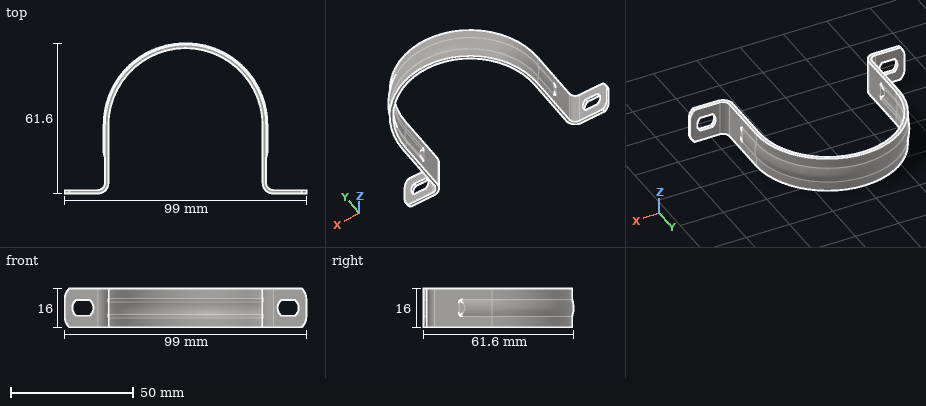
import cadquery as cq
import math

overall_length = 99.0
overall_depth = 61.6
width = 16.0
thickness = 1.5
inner_radius = 31.5
outer_radius = inner_radius + thickness
bend_inner_radius = 3.0
bend_outer_radius = bend_inner_radius + thickness

bead_height = 0.6
bead_width = 6.9
bead_end_y = 14.6
bead_ramp_length = 2.4
bead_corner_radius = 1.4
groove_edge_radius = 4.95
groove_side_clearance = 0.2
bead_radius = ((bead_width / 2) ** 2 + bead_height ** 2) / (2 * bead_height)
groove_radius = bead_radius - thickness
arch_y = overall_depth - bead_height - outer_radius

hole_radius = 4.3
hole_height = 6.3
hole_end_margin = 7.5
tab_corner_radius = 6.1
tab_end_flat = 6.9

half_length = overall_length / 2
half_width = width / 2


def make_strap():
    """Bent strip: two tabs, two legs and a semicircular arch."""
    tab_bend_x = inner_radius + bend_outer_radius
    bend_y = bend_outer_radius
    diagonal = math.sqrt(0.5)
    front_mid = (tab_bend_x - bend_outer_radius * diagonal, bend_y - bend_outer_radius * diagonal)
    back_mid = (tab_bend_x - bend_inner_radius * diagonal, bend_y - bend_inner_radius * diagonal)
    return (
        cq.Workplane("XY").workplane(offset=-half_width)
        .moveTo(half_length, 0)
        .lineTo(tab_bend_x, 0)
        .threePointArc(front_mid, (inner_radius, bend_y))
        .lineTo(inner_radius, arch_y)
        .threePointArc((0, arch_y + inner_radius), (-inner_radius, arch_y))
        .lineTo(-inner_radius, bend_y)
        .threePointArc((-front_mid[0], front_mid[1]), (-tab_bend_x, 0))
        .lineTo(-half_length, 0)
        .lineTo(-half_length, thickness)
        .lineTo(-tab_bend_x, thickness)
        .threePointArc((-back_mid[0], back_mid[1]), (-outer_radius, bend_y))
        .lineTo(-outer_radius, arch_y)
        .threePointArc((0, arch_y + outer_radius), (outer_radius, arch_y))
        .lineTo(outer_radius, bend_y)
        .threePointArc(back_mid, (tab_bend_x, thickness))
        .lineTo(half_length, thickness)
        .close()
        .extrude(width)
    )


def tab_outline():
    """Front outline of the strap, with rounded corners at the tab ends."""
    flat = tab_end_flat / 2
    rise = half_width - flat
    setback = tab_corner_radius - math.sqrt(tab_corner_radius ** 2 - rise ** 2)
    half_angle = math.asin(rise / tab_corner_radius) / 2
    shoulder_x = half_length - setback
    mid_x = half_length - tab_corner_radius * (1 - math.cos(half_angle))
    mid_z = flat + tab_corner_radius * math.sin(half_angle)
    return (
        cq.Workplane("XZ")
        .moveTo(-shoulder_x, half_width)
        .lineTo(shoulder_x, half_width)
        .threePointArc((mid_x, mid_z), (half_length, flat))
        .lineTo(half_length, -flat)
        .threePointArc((mid_x, -mid_z), (shoulder_x, -half_width))
        .lineTo(-shoulder_x, -half_width)
        .threePointArc((-mid_x, -mid_z), (-half_length, -flat))
        .lineTo(-half_length, flat)
        .threePointArc((-mid_x, mid_z), (-shoulder_x, half_width))
        .close()
        .extrude(-overall_depth)
    )


def mounting_hole(x):
    """Round hole flattened at its top and bottom."""
    cylinder = cq.Workplane("XZ").center(x, 0).circle(hole_radius).extrude(-thickness)
    flats = cq.Workplane("XZ").center(x, 0).rect(2 * hole_radius, hole_height).extrude(-thickness)
    return cylinder.intersect(flats)


def bead_profile(plane_y):
    """Arc segment standing on the outer face of the strap."""
    half = bead_width / 2
    return (
        cq.Workplane("XZ", origin=(0, plane_y, 0))
        .moveTo(outer_radius, -half)
        .threePointArc((outer_radius + bead_height, 0), (outer_radius, half))
        .close()
    )


def groove_profile(plane_y):
    """Concave arc in the inner face, blended into it by convex edge arcs."""
    center_x = inner_radius + bead_height - groove_radius
    blend_x = inner_radius + groove_edge_radius
    reach = groove_radius + groove_edge_radius
    blend_z = math.sqrt(reach ** 2 - (blend_x - center_x) ** 2)
    blend_angle = math.asin(blend_z / reach)
    tangent_x = center_x + groove_radius * math.cos(blend_angle)
    tangent_z = groove_radius * math.sin(blend_angle)
    mid_x = blend_x - groove_edge_radius * math.cos(blend_angle / 2)
    mid_z = blend_z - groove_edge_radius * math.sin(blend_angle / 2)
    return (
        cq.Workplane("XZ", origin=(0, plane_y, 0))
        .moveTo(inner_radius, -blend_z)
        .threePointArc((mid_x, -mid_z), (tangent_x, -tangent_z))
        .threePointArc((inner_radius + bead_height, 0), (tangent_x, tangent_z))
        .threePointArc((mid_x, mid_z), (inner_radius, blend_z))
        .close()
    )


def sweep_around_arch(profile):
    """Carry a profile along both legs and around the arch."""
    leg = profile(bead_end_y).extrude(bead_end_y - arch_y)
    arch = profile(arch_y).revolve(180, (0, 0, 0), (0, 1, 0))
    return arch.union(leg).union(leg.mirror("YZ"))


def end_limits(face_x, limit_width):
    """Space whose lower ends ramp outward from the given leg face, with rounded corners."""
    ramp_x = face_x + bead_height
    ramp_y = bead_end_y + bead_ramp_length
    far_x = half_length
    ramps = (
        cq.Workplane("XY")
        .polyline([
            (-face_x, bead_end_y), (face_x, bead_end_y), (ramp_x, ramp_y), (far_x, ramp_y),
            (far_x, overall_depth), (-far_x, overall_depth), (-far_x, ramp_y), (-ramp_x, ramp_y),
        ])
        .close()
        .extrude(width, both=True)
    )
    rounded = (
        cq.Workplane("XY")
        .box(overall_length, overall_depth - bead_end_y, limit_width)
        .translate((0, (overall_depth + bead_end_y) / 2, 0))
        .edges("|X and <Y").fillet(bead_corner_radius)
    )
    return ramps.intersect(rounded)


bead = sweep_around_arch(bead_profile).intersect(end_limits(outer_radius, bead_width))
groove_width = 2 * math.sqrt(
    (groove_radius + groove_edge_radius) ** 2
    - (groove_radius + groove_edge_radius - bead_height) ** 2
)
groove = sweep_around_arch(groove_profile).intersect(
    end_limits(inner_radius, groove_width + 2 * groove_side_clearance)
)

result = make_strap().intersect(tab_outline()).union(bead).cut(groove)
for side in (-1, 1):
    result = result.cut(mounting_hole(side * (half_length - hole_end_margin)))